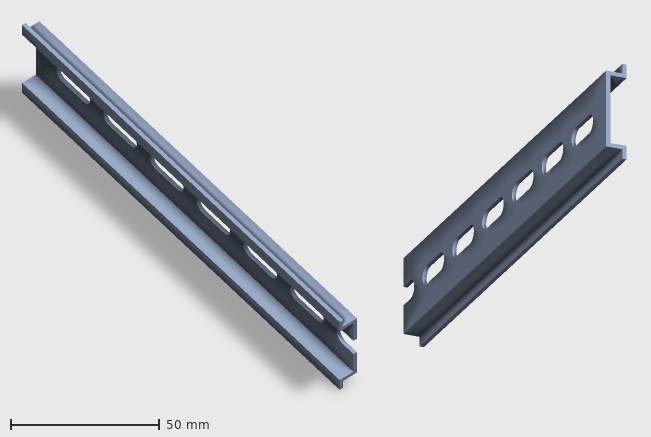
import cadquery as cq

length = 170.0
depth = 7.5
height = 35.0

thickness = 1.5
channel_opening = 25.0

slot_length = 18.0
slot_width = 6.8
slot_pitch = 25.0
first_slot_center = 20.0
slot_count = 7


def make_rail():
    """Extrude the hat section along X, with the web on the +Y side."""
    front = -depth / 2
    back = depth / 2
    lip_back = front + thickness
    web_front = back - thickness
    lip_edge = height / 2
    wall_inner = channel_opening / 2
    wall_outer = wall_inner + thickness

    upper_half = [
        (web_front, wall_inner),
        (front, wall_inner),
        (front, lip_edge),
        (lip_back, lip_edge),
        (lip_back, wall_outer),
        (back, wall_outer),
    ]
    lower_half = [(y, -z) for y, z in reversed(upper_half)]
    section = cq.Workplane("YZ", origin=(-length / 2, 0, 0)).polyline(upper_half + lower_half)
    return section.close().extrude(length)


def make_slots():
    """Round-ended cutters, evenly spaced along the middle of the web."""
    first_x = first_slot_center - length / 2
    centers = [(first_x + i * slot_pitch, 0) for i in range(slot_count)]
    plane = cq.Workplane("XZ").pushPoints(centers)
    return plane.slot2D(slot_length, slot_width).extrude(depth, both=True)


result = make_rail().cut(make_slots())